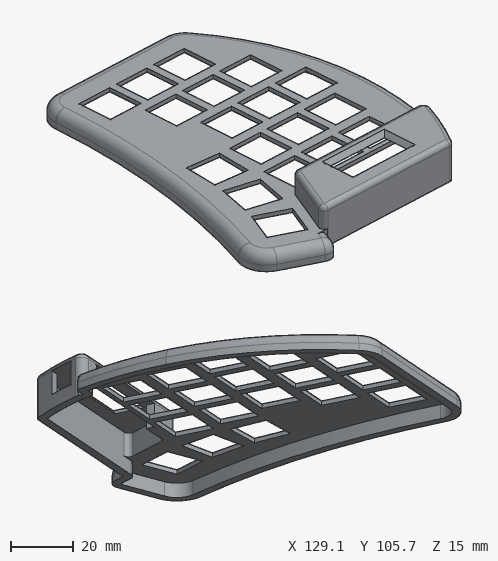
import cadquery as cq
import math

PLATE_HEIGHT = 6.5
SKIN = 1.5
WALL = 3.0
PLATE_ROUND = 4.0
CORNER_RADIUS = 9.7
THUMB_TIP_RADIUS = 4.1
SKIN_UNDERSIDE = PLATE_HEIGHT - SKIN

CREST_X = 63.7
CREST_Y = 105.7
BACK_LEFT_RADIUS = 102.0
BACK_RIGHT_RADIUS = 119.8

FRONT_LEFT_Y = 19.1
FRONT_MIDDLE = (66.1, 13.7)
THUMB_FRONT = (117.9, -2.8)

THUMB_ANGLE = 25.0
THUMB_END_LENGTH = 29.8
THUMB_ROOT_Y = 19.4

TOTAL_HEIGHT = 15.0
HOUSING_LEFT = 99.0
HOUSING_RIGHT = 122.5
HOUSING_FRONT_LEFT_Y = 36.4
HOUSING_FRONT_RIGHT_Y = 25.2
HOUSING_BACK_LEFT_Y = 96.7
HOUSING_BACK_RIGHT_Y = 85.0
HOUSING_BACK_BULGE = 0.9
HOUSING_TIP_RADIUS = 1.8
HOUSING_CORNER_RADIUS = 2.6
HOUSING_ROUND = 1.8
HOUSING_ROOF = 2.0
CAVITY_CORNER_RADIUS = 1.7
CAVITY_TOP = TOTAL_HEIGHT - HOUSING_ROOF

STEP_X = 99.4
STEP_Y = 95.9
STEP_RADIUS = 1.3
PLATE_OVERLAP = 2.0
PLATE_INNER_X = STEP_X + PLATE_OVERLAP

WINDOW_CENTER = (109.1, 60.4)
WINDOW_WIDTH = 10.6
WINDOW_LENGTH = 25.2
WINDOW_BEVEL = 1.5

SIDE_OPENING_FRONT = 49.7
SIDE_OPENING_BACK = 87.9
PORT_LEFT = 104.6
PORT_RIGHT = 114.0

KEY_SIZE = 14.0
COLUMN_PITCH = 18.0
ROW_PITCH = 17.0
ROWS = 3
FIRST_COLUMN_X = 18.5
TOP_KEY_Y = [69.2, 81.1, 88.0, 82.9, 80.2]
THUMB_KEYS = [(71.4, 29.8, 5), (90.6, 26.3, 15), (109.1, 19.8, 25)]


def back_edge_y(x):
    """Y of the back edge at a given x."""
    radius = BACK_LEFT_RADIUS if x < CREST_X else BACK_RIGHT_RADIUS
    return CREST_Y - radius + math.sqrt(radius**2 - (x - CREST_X) ** 2)


def back_edge_point(x):
    return (x, back_edge_y(x))


def block(x_min, x_max, y_min, y_max, z_min, z_max):
    size = (x_max - x_min, y_max - y_min, z_max - z_min)
    return cq.Workplane().box(*size, centered=False).translate((x_min, y_min, z_min))


def round_upright_edge(body, corner, radius):
    """Round the upright edge of a body that stands nearest to a corner (x, y) of its outline."""
    edge = cq.NearestToPointSelector((*corner, 0))
    return body.edges("|Z").edges(edge).fillet(radius)


def make_plate():
    turn = math.radians(THUMB_ANGLE)
    thumb_tip = (
        THUMB_FRONT[0] + THUMB_END_LENGTH * math.sin(turn),
        THUMB_FRONT[1] + THUMB_END_LENGTH * math.cos(turn),
    )
    thumb_inner_y = thumb_tip[1] + (thumb_tip[0] - PLATE_INNER_X) * math.tan(turn)
    plate = (
        cq.Workplane()
        .moveTo(0, FRONT_LEFT_Y)
        .threePointArc(FRONT_MIDDLE, THUMB_FRONT)
        .lineTo(*thumb_tip)
        .lineTo(PLATE_INNER_X, thumb_inner_y)
        .lineTo(*back_edge_point(PLATE_INNER_X))
        .threePointArc(back_edge_point((PLATE_INNER_X + CREST_X) / 2), (CREST_X, CREST_Y))
        .threePointArc(back_edge_point(CREST_X / 2), back_edge_point(0))
        .close()
        .extrude(PLATE_HEIGHT)
    )
    for corner in [(0, FRONT_LEFT_Y), (0, back_edge_y(0)), THUMB_FRONT]:
        plate = round_upright_edge(plate, corner, CORNER_RADIUS)
    plate = round_upright_edge(plate, thumb_tip, THUMB_TIP_RADIUS)

    square_edge = plate.intersect(block(PLATE_INNER_X, HOUSING_RIGHT, THUMB_ROOT_Y, STEP_Y, 0, PLATE_HEIGHT))
    inner_side_middle = (PLATE_INNER_X, (thumb_inner_y + STEP_Y) / 2, PLATE_HEIGHT)
    rim = cq.selectors.InverseSelector(cq.NearestToPointSelector(inner_side_middle))
    plate = plate.faces(">Z").edges(rim).fillet(PLATE_ROUND).union(square_edge)

    plate = plate.cut(block(STEP_X, HOUSING_RIGHT, STEP_Y, CREST_Y, 0, PLATE_HEIGHT))
    return round_upright_edge(plate, back_edge_point(STEP_X), STEP_RADIUS)


def housing_outline():
    middle = (
        (HOUSING_LEFT + HOUSING_RIGHT) / 2,
        (HOUSING_BACK_LEFT_Y + HOUSING_BACK_RIGHT_Y) / 2 + HOUSING_BACK_BULGE,
    )
    return (
        cq.Workplane()
        .moveTo(HOUSING_LEFT, HOUSING_FRONT_LEFT_Y)
        .lineTo(HOUSING_RIGHT, HOUSING_FRONT_RIGHT_Y)
        .lineTo(HOUSING_RIGHT, HOUSING_BACK_RIGHT_Y)
        .threePointArc(middle, (HOUSING_LEFT, HOUSING_BACK_LEFT_Y))
        .close()
    )


def make_housing():
    housing = housing_outline().extrude(TOTAL_HEIGHT)
    front_left = (HOUSING_LEFT, HOUSING_FRONT_LEFT_Y)
    front_right = (HOUSING_RIGHT, HOUSING_FRONT_RIGHT_Y)
    back_left = (HOUSING_LEFT, HOUSING_BACK_LEFT_Y)
    back_right = (HOUSING_RIGHT, HOUSING_BACK_RIGHT_Y)
    for corner in [front_left, back_left, back_right]:
        housing = round_upright_edge(housing, corner, HOUSING_CORNER_RADIUS)
    housing = round_upright_edge(housing, front_right, HOUSING_TIP_RADIUS)
    return housing.faces(">Z").edges().fillet(HOUSING_ROUND)


def make_housing_cavity():
    cavity = housing_outline().offset2D(-WALL, "intersection").extrude(CAVITY_TOP)
    return cavity.edges("|Z").fillet(CAVITY_CORNER_RADIUS)


def make_plate_cavity(shell):
    return shell.faces("<Z").wires().toPending().offset2D(-WALL).extrude(SKIN_UNDERSIDE, combine=False)


def make_window():
    return (
        cq.Workplane(origin=(*WINDOW_CENTER, CAVITY_TOP))
        .rect(WINDOW_WIDTH, WINDOW_LENGTH)
        .workplane(offset=HOUSING_ROOF)
        .rect(WINDOW_WIDTH + 2 * WINDOW_BEVEL, WINDOW_LENGTH + 2 * WINDOW_BEVEL)
        .loft(ruled=True)
    )


def make_key_hole(x, y, clockwise=0):
    hole = cq.Workplane().rect(KEY_SIZE, KEY_SIZE).extrude(PLATE_HEIGHT)
    return hole.rotate((0, 0, 0), (0, 0, 1), -clockwise).translate((x, y, 0))


def make_side_opening():
    """Opening through the left housing wall, from the underside of the skin to the roof."""
    x_max = HOUSING_LEFT + WALL
    return block(HOUSING_LEFT, x_max, SIDE_OPENING_FRONT, SIDE_OPENING_BACK, SKIN_UNDERSIDE, CAVITY_TOP)


def make_port():
    """Port through the back housing wall; it starts in the open middle of the cavity."""
    y_min = WINDOW_CENTER[1]
    return block(PORT_LEFT, PORT_RIGHT, y_min, HOUSING_BACK_LEFT_Y, SKIN_UNDERSIDE, CAVITY_TOP)


shell = make_plate().union(make_housing())
result = shell.cut(make_plate_cavity(shell)).cut(make_housing_cavity())
result = result.cut(make_window()).cut(make_side_opening()).cut(make_port())

for column, top_y in enumerate(TOP_KEY_Y):
    column_x = FIRST_COLUMN_X + column * COLUMN_PITCH
    for row in range(ROWS):
        result = result.cut(make_key_hole(column_x, top_y - row * ROW_PITCH))
for x, y, clockwise in THUMB_KEYS:
    result = result.cut(make_key_hole(x, y, clockwise))